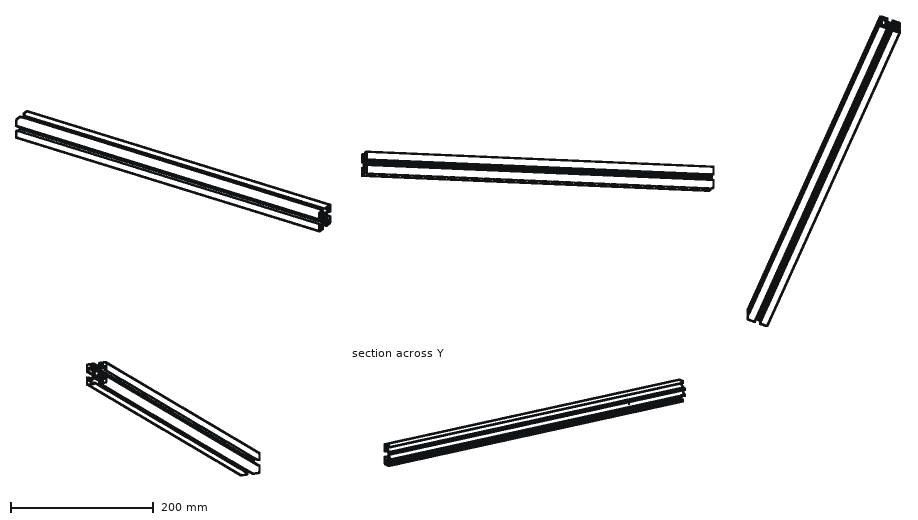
import cadquery as cq
import math

length = 500.0
side = 30.0
corner_radius = 2.0
slot_opening = 8.0
lip_thickness = 2.5
lip_radius = 1.0
groove_width = 4.5
groove_floor_width = 2.5
groove_depth = 0.5
cavity_width = 18.5
core_width = 11.5
web_thickness = 2.25
bore_diameter = 7.0

half_side = side / 2
lip_inner = half_side - lip_thickness
half_opening = slot_opening / 2
half_cavity = cavity_width / 2
half_core = core_width / 2
web_offset = web_thickness / math.sqrt(2)


def make_bar():
    """Solid square bar with rounded long edges."""
    bar = cq.Workplane("YZ").rect(side, side).extrude(length / 2, both=True)
    return bar.edges("|X").fillet(corner_radius)


def make_slot():
    """T-slot cutter on the +Z face, narrowing along the diagonal webs to the core."""
    right_side = [
        (half_opening, half_side),
        (half_opening, lip_inner),
        (half_cavity, lip_inner),
        (half_cavity, half_cavity + web_offset),
        (half_core - web_offset, half_core),
    ]
    left_side = [(-y, z) for y, z in reversed(right_side)]
    outline = cq.Workplane("YZ").polyline(right_side + left_side).close()
    return outline.extrude(length / 2, both=True)


def make_groove():
    """Shallow groove with sloping flanks along the middle of the +Z slot floor."""
    groove_bottom = half_core - groove_depth
    outline = cq.Workplane("YZ").polyline([
        (-groove_width / 2, half_core),
        (-groove_floor_width / 2, groove_bottom),
        (groove_floor_width / 2, groove_bottom),
        (groove_width / 2, half_core),
    ]).close()
    return outline.extrude(length / 2, both=True)


def round_lips(profile):
    """Round the outer edges of the lips beside the +Z slot opening."""
    margin = lip_radius / 2
    lip_edges = cq.selectors.BoxSelector(
        (-length, -half_opening - margin, half_side - margin),
        (length, half_opening + margin, half_side + margin),
    )
    return profile.edges("|X").edges(lip_edges).fillet(lip_radius)


def make_bore():
    """Round hole through the core along the whole bar."""
    return cq.Workplane("YZ").circle(bore_diameter / 2).extrude(length / 2, both=True)


result = make_bar().cut(make_bore())
slot = make_slot().union(make_groove())
for _ in range(4):
    result = round_lips(result.cut(slot))
    result = result.rotate((0, 0, 0), (1, 0, 0), 90)